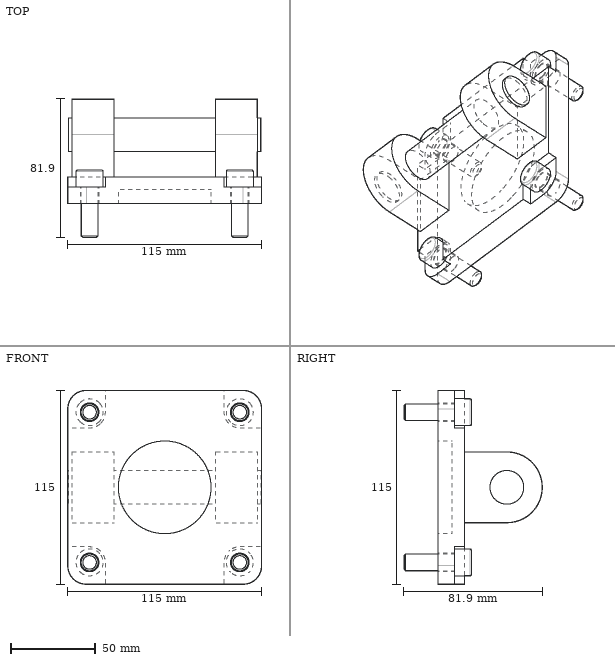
import cadquery as cq

FLANGE_SIDE = 115.0
FLANGE_THICKNESS = 16.0
FLANGE_CORNER_RADIUS = 11.0
RECESS_DIAMETER = 55.0
RECESS_DEPTH = 8.5

SCREW_SPACING = 89.0
SCREW_SEAT_Y = 10.0
SCREW_HOLE_DIAMETER = 11.0
SHANK_DIAMETER = 10.0
SHANK_PROJECTION = 20.0
SHANK_CHAMFER = 1.0
HEAD_DIAMETER = 16.0
HEAD_HEIGHT = 10.0
HEAD_FILLET = 1.0
POCKET_RADIUS = 9.3

LUG_OUTER_SPAN = 109.9
LUG_WIDTH = 25.0
LUG_RADIUS = 21.0
PIN_AXIS_Y = 40.9
PIN_DIAMETER = 20.0
PIN_LENGTH = 114.1

half_side = FLANGE_SIDE / 2
half_spacing = SCREW_SPACING / 2
screw_centers = [
    (side_x * half_spacing, side_z * half_spacing)
    for side_x in (-1, 1)
    for side_z in (-1, 1)
]


def cylinder_y(diameter, start_y, length, center=(0, 0)):
    """Cylinder along +Y, starting at start_y, centred on an (x, z) point."""
    x, z = center
    base = cq.Workplane("XZ", origin=(x, start_y, z))
    return base.circle(diameter / 2).extrude(-length)


def corner_pocket(center):
    """Pocket open to both flange edges, its inner corner rounded about the screw."""
    x, z = center
    inner_x = half_spacing - POCKET_RADIUS
    side = half_side - inner_x
    middle = inner_x + side / 2
    depth = FLANGE_THICKNESS - SCREW_SEAT_Y
    block = (
        cq.Workplane("XZ", origin=(0, SCREW_SEAT_Y, 0))
        .center(middle, middle)
        .rect(side, side)
        .extrude(-depth)
        .edges("(|Y) and (<X) and (<Z)")
        .fillet(POCKET_RADIUS)
    )
    if x < 0:
        block = block.mirror("YZ")
    if z < 0:
        block = block.mirror("XY")
    return block


def make_flange():
    flange = (
        cq.Workplane("XZ")
        .rect(FLANGE_SIDE, FLANGE_SIDE)
        .extrude(-FLANGE_THICKNESS)
        .edges("|Y")
        .fillet(FLANGE_CORNER_RADIUS)
        .cut(cylinder_y(RECESS_DIAMETER, 0, RECESS_DEPTH))
    )
    for center in screw_centers:
        flange = flange.cut(corner_pocket(center))
        flange = flange.cut(cylinder_y(SCREW_HOLE_DIAMETER, 0, SCREW_SEAT_Y, center))
    return flange


def make_screw(center):
    """Screw with a rounded head rim and a chamfered tip."""
    shank = cylinder_y(SHANK_DIAMETER, -SHANK_PROJECTION, SHANK_PROJECTION + SCREW_SEAT_Y, center)
    shank = shank.faces("<Y").chamfer(SHANK_CHAMFER)
    head = cylinder_y(HEAD_DIAMETER, SCREW_SEAT_Y, HEAD_HEIGHT, center)
    head = head.faces(">Y").edges().fillet(HEAD_FILLET)
    return shank.union(head)


def make_lug(start_x):
    """Lug rising from the flange back face to a full round about the pin axis."""
    return (
        cq.Workplane("YZ", origin=(start_x, 0, 0))
        .moveTo(FLANGE_THICKNESS, -LUG_RADIUS)
        .lineTo(PIN_AXIS_Y, -LUG_RADIUS)
        .threePointArc((PIN_AXIS_Y + LUG_RADIUS, 0), (PIN_AXIS_Y, LUG_RADIUS))
        .lineTo(FLANGE_THICKNESS, LUG_RADIUS)
        .close()
        .extrude(LUG_WIDTH)
    )


def make_pin():
    base = cq.Workplane("YZ", origin=(-PIN_LENGTH / 2, PIN_AXIS_Y, 0))
    return base.circle(PIN_DIAMETER / 2).extrude(PIN_LENGTH)


result = make_flange()
for lug_start_x in (-LUG_OUTER_SPAN / 2, LUG_OUTER_SPAN / 2 - LUG_WIDTH):
    result = result.union(make_lug(lug_start_x))
result = result.union(make_pin())
for screw_center in screw_centers:
    result = result.union(make_screw(screw_center))